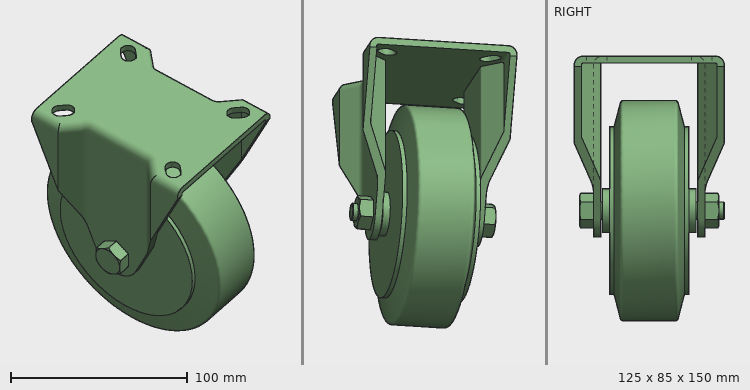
import cadquery as cq
import math


overall_height = 150.0
wheel_diameter = 125.0
wheel_radius = wheel_diameter / 2

plate_length = 105.0
plate_width = 85.0
plate_top = overall_height - wheel_radius
sheet = 4.0
fold_inner_radius = 1.0
fold_outer_radius = fold_inner_radius + sheet
leg_outer_y = 31.5
shoulder_x = 33.3
slope_angle = math.radians(45)
recess_outer_radius = 5.0
recess_inner_radius = 1.5
leg_corner_drop = 6.0
leg_end_radius = 15.0

slot_spacing_x = 79.0
slot_spacing_y = 59.7
slot_width = 8.5
slot_travel = 4.4
slot_angle = 45

disc_radius = 47.5
disc_half_width = 22.5
tread_root_half_width = 20.0
tread_edge_half_width = 16.0
tread_edge_radius = 2.0
hub_radius = 12.5
hub_half_width = 26.5

bolt_radius = 5.0
bolt_end_y = plate_width / 2
bolt_end_chamfer = 0.5
hex_flats = 17.2
hex_height = 8.0
hex_corner_diameter = hex_flats / math.cos(math.pi / 6)
hex_chamfer_width = (hex_corner_diameter - hex_flats) / 2
hex_chamfer_angle = math.radians(30)
hex_chamfer_depth = hex_chamfer_width * math.tan(hex_chamfer_angle)


def waisted_block(length, inset, recess_radius, top):
    """Block with a waisted plan, every side moved inwards by inset, and the recess bends rounded."""
    end_y = plate_width / 2 - inset
    waist_y = leg_outer_y - inset
    slope_start_x = shoulder_x + inset * math.tan(slope_angle / 2)
    slope_end_x = slope_start_x - (end_y - waist_y) / math.tan(slope_angle)
    side = [
        (-length / 2, end_y),
        (-slope_start_x, end_y),
        (-slope_end_x, waist_y),
        (slope_end_x, waist_y),
        (slope_start_x, end_y),
        (length / 2, end_y),
    ]
    opposite_side = [(-x, -y) for x, y in side]
    block = (
        cq.Workplane("XY")
        .workplane(offset=-leg_end_radius)
        .polyline(side + opposite_side)
        .close()
        .extrude(top + leg_end_radius)
    )
    return (
        block.edges("|Z")
        .filter(lambda edge: abs(edge.Center().x) < (slope_start_x + slope_end_x) / 2)
        .fillet(recess_radius)
    )


def leg_silhouette():
    """Tapered front outline of the bracket, its sides tangent to the round leg ends."""
    corner_x = plate_length / 2
    corner_z = plate_top - leg_corner_drop
    corner_distance = math.hypot(corner_x, corner_z)
    tangent_angle = math.atan2(corner_z, corner_x) - math.acos(leg_end_radius / corner_distance)
    tangent_x = leg_end_radius * math.cos(tangent_angle)
    tangent_z = leg_end_radius * math.sin(tangent_angle)
    return (
        cq.Workplane("XZ")
        .moveTo(-corner_x, plate_top)
        .lineTo(corner_x, plate_top)
        .lineTo(corner_x, corner_z)
        .lineTo(tangent_x, tangent_z)
        .threePointArc((0, -leg_end_radius), (-tangent_x, tangent_z))
        .lineTo(-corner_x, corner_z)
        .close()
        .extrude(plate_width / 2, both=True)
    )


def plate_slots():
    """Four slots, each lying across its corner of the plate."""
    slots = cq.Workplane("XY")
    for x_side in (-1, 1):
        for y_side in (-1, 1):
            slot = (
                cq.Workplane("XY")
                .workplane(offset=plate_top - 2 * sheet)
                .center(x_side * slot_spacing_x / 2, y_side * slot_spacing_y / 2)
                .transformed(rotate=(0, 0, x_side * y_side * slot_angle))
                .slot2D(slot_travel + slot_width, slot_width)
                .extrude(3 * sheet)
            )
            slots = slots.add(slot)
    return slots.combine()


def bracket():
    """Bent sheet; its inner fold is round along the plate ends and sharp along the recesses."""
    outside = waisted_block(plate_length, 0, recess_outer_radius, plate_top)
    outside = outside.faces(">Z").edges("not(|Y)").fillet(fold_outer_radius)
    inside = waisted_block(plate_length + 2 * sheet, sheet, recess_inner_radius, plate_top - sheet)
    inside = inside.faces(">Z").edges(">Y or <Y").fillet(fold_inner_radius)
    return outside.cut(inside).intersect(leg_silhouette()).cut(plate_slots())


def cylinder_along_y(radius, start_y, end_y):
    return cq.Workplane("XZ", origin=(0, start_y, 0)).circle(radius).extrude(start_y - end_y)


def wheel():
    tread_half_profile = [
        (0, -tread_root_half_width),
        (disc_radius, -tread_root_half_width),
        (wheel_radius, -tread_edge_half_width),
        (wheel_radius, tread_edge_half_width),
        (disc_radius, tread_root_half_width),
        (0, tread_root_half_width),
    ]
    tread = cq.Workplane("XY").polyline(tread_half_profile).close().revolve(360, (0, 0, 0), (0, 1, 0))
    tread = (
        tread.edges("%CIRCLE")
        .filter(lambda edge: edge.radius() > (disc_radius + wheel_radius) / 2)
        .fillet(tread_edge_radius)
    )
    disc = cylinder_along_y(disc_radius, -disc_half_width, disc_half_width)
    hub = cylinder_along_y(hub_radius, -hub_half_width, hub_half_width)
    return tread.union(disc).union(hub)


def hexagon_on_leg(side):
    """Bolt head or nut on the leg at the given Y side, corners up and down, chamfered outer corners."""
    plane = cq.Plane(origin=(0, side * leg_outer_y, 0), xDir=(0, 0, 1), normal=(0, side, 0))
    prism = cq.Workplane(plane).polygon(6, hex_corner_diameter).extrude(hex_height)
    envelope = (
        cq.Workplane(plane)
        .circle(hex_corner_diameter / 2)
        .extrude(hex_height)
        .faces(">Y" if side > 0 else "<Y")
        .chamfer(hex_chamfer_depth, hex_chamfer_width)
    )
    return prism.intersect(envelope)


def bolt():
    shank = cylinder_along_y(bolt_radius, -leg_outer_y, bolt_end_y).faces(">Y").chamfer(bolt_end_chamfer)
    head = hexagon_on_leg(-1)
    nut = hexagon_on_leg(1)
    return shank.union(head).union(nut)


result = bracket().union(wheel()).union(bolt())